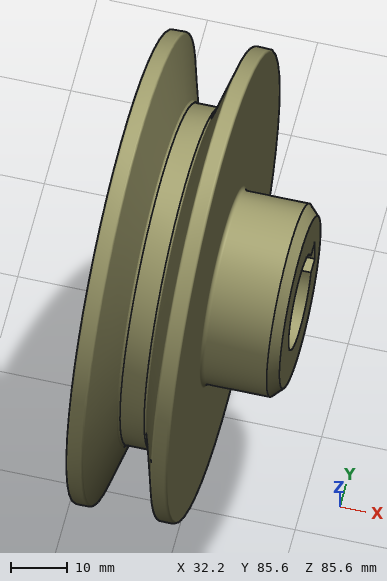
import cadquery as cq
import math

rim_radius = 42.8
rim_width = 18.4
total_length = 32.25
hub_radius = 17.45
hub_chamfer = 1.9
hub_root_fillet = 0.8
edge_fillet = 0.5

groove_depth = 11.9
groove_root_width = 5.1
groove_half_angle = 17.0

bore_diameter = 17.3
keyway_width = 5.5
keyway_reach = 11.1

groove_root_radius = rim_radius - groove_depth
groove_center = rim_width / 2
half_root = groove_root_width / 2
half_mouth = half_root + groove_depth * math.tan(math.radians(groove_half_angle))


def disc(radius, length):
    return cq.Workplane("YZ").circle(radius).extrude(length)


def circles_at(x, radius):
    """Select the circular edges of the given radius lying in the plane at x."""
    margin = 0.01
    reach = radius + margin
    inner = radius - margin
    outer_box = cq.selectors.BoxSelector(
        (x - margin, -reach, -reach), (x + margin, reach, reach), boundingbox=True
    )
    inner_box = cq.selectors.BoxSelector(
        (x - margin, -inner, -inner), (x + margin, inner, inner), boundingbox=True
    )
    return outer_box - inner_box


hub = disc(hub_radius, total_length).faces(">X").chamfer(hub_chamfer)
pulley = disc(rim_radius, rim_width).union(hub)

groove = (
    cq.Workplane("XY")
    .moveTo(groove_center - half_mouth, rim_radius)
    .lineTo(groove_center - half_root, groove_root_radius)
    .lineTo(groove_center + half_root, groove_root_radius)
    .lineTo(groove_center + half_mouth, rim_radius)
    .close()
    .revolve(360, (0, 0, 0), (1, 0, 0))
)
pulley = pulley.cut(groove)

for x, radius in (
    (0, rim_radius),
    (groove_center - half_mouth, rim_radius),
    (groove_center - half_root, groove_root_radius),
    (groove_center + half_root, groove_root_radius),
    (groove_center + half_mouth, rim_radius),
    (rim_width, rim_radius),
):
    pulley = pulley.edges(circles_at(x, radius)).fillet(edge_fillet)

pulley = pulley.edges(circles_at(rim_width, hub_radius)).fillet(hub_root_fillet)

bore = disc(bore_diameter / 2, total_length)
keyway = cq.Workplane("XY").box(
    total_length, keyway_reach, keyway_width, centered=(False, False, True)
)
result = pulley.cut(bore).cut(keyway)